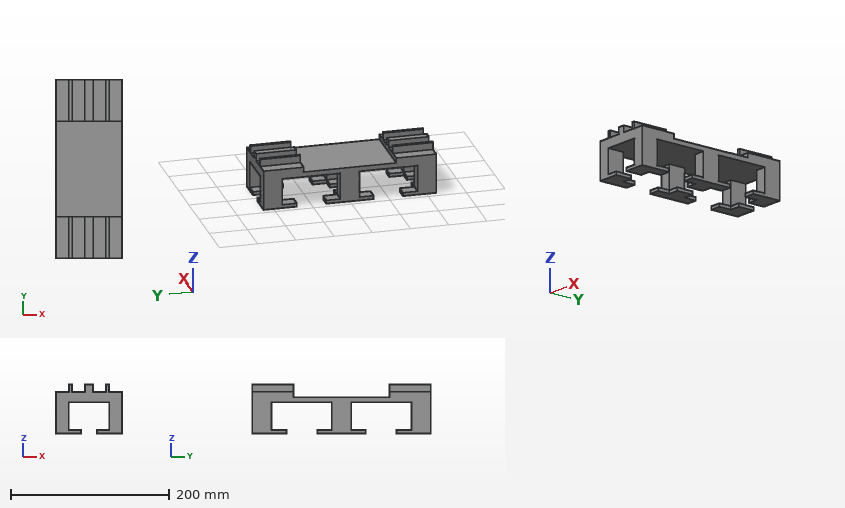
import cadquery as cq

width = 83.6
length = 226.0
height = 62.4

rib_height = 9.5
deck_height = height - rib_height
end_deck_length = 52.5
middle_deck_height = 46.3
center_rib_width = 10.2
side_rib_width = 4.0

ceiling_height = 39.5
foot_thickness = 4.7
long_slot_head = 51.0
long_slot_neck = 20.0
end_post_length = 24.6
center_post_length = 25.0
end_foot_length = 43.6
center_foot_length = 62.0

cross_slot_head = (length - center_post_length) / 2 - end_post_length
cross_slot_neck = (length - center_foot_length) / 2 - end_foot_length
cross_slot_head_y = (center_post_length + cross_slot_head) / 2
cross_slot_neck_y = (center_foot_length + cross_slot_neck) / 2


def block(size_x, size_y, bottom, top, x=0, y=0):
    """Box centered on (x, y) between two heights."""
    return (
        cq.Workplane("XY", origin=(x, y, bottom))
        .rect(size_x, size_y)
        .extrude(top - bottom)
    )


def ribs(y):
    """Three ribs along an end deck; the outer ones are flush with the long slot walls."""
    side_rib_x = (long_slot_head - side_rib_width) / 2
    group = block(center_rib_width, end_deck_length, deck_height, height, 0, y)
    for x in (-side_rib_x, side_rib_x):
        group = group.union(block(side_rib_width, end_deck_length, deck_height, height, x, y))
    return group


body = block(width, length, 0, middle_deck_height)
end_deck_y = (length - end_deck_length) / 2
for side in (-1, 1):
    end_y = side * end_deck_y
    body = body.union(block(width, end_deck_length, middle_deck_height, deck_height, 0, end_y))
    body = body.union(ribs(end_y))

body = body.cut(block(long_slot_head, length, foot_thickness, ceiling_height))
body = body.cut(block(long_slot_neck, length, 0, foot_thickness))

for side in (-1, 1):
    head_y = side * cross_slot_head_y
    neck_y = side * cross_slot_neck_y
    body = body.cut(block(width, cross_slot_head, foot_thickness, ceiling_height, 0, head_y))
    body = body.cut(block(width, cross_slot_neck, 0, foot_thickness, 0, neck_y))
    body = body.cut(block(long_slot_head, cross_slot_head, 0, foot_thickness, 0, head_y))

result = body